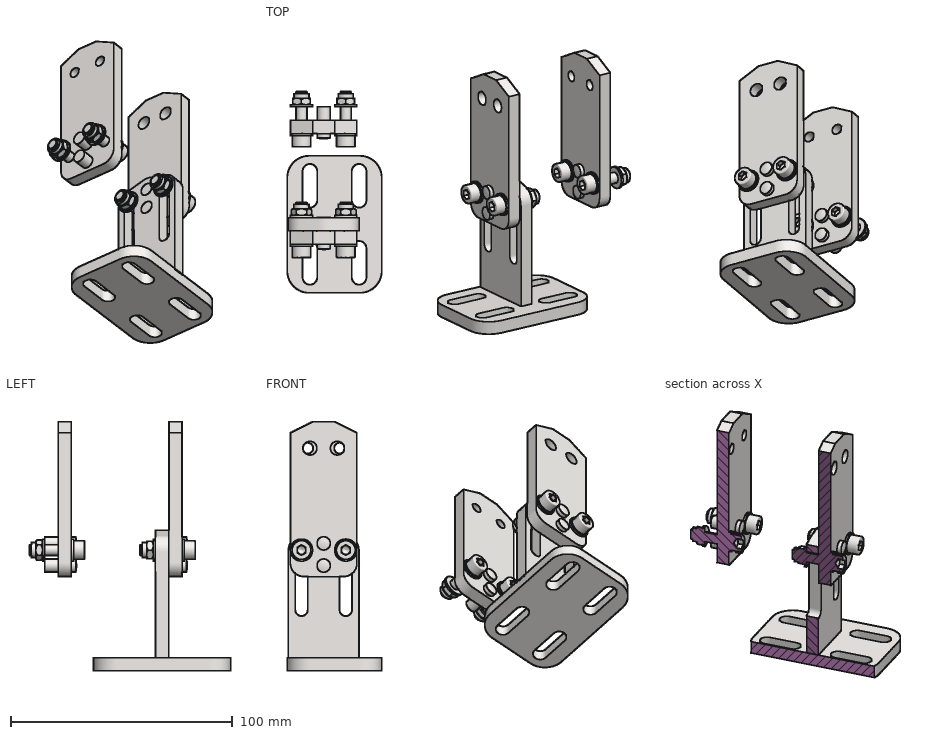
import cadquery as cq
import math

FOOT_WIDTH = 42.8
FOOT_DEPTH = 62.0
FOOT_THICKNESS = 6.0
FOOT_CENTER_X = 4.9
FOOT_CORNER_RADIUS = 10.0
FOOT_SLOT_WIDTH = 6.5
FOOT_SLOT_LENGTH = 19.6
FOOT_SLOT_PITCH_X = 22.2
FOOT_SLOT_PITCH_Y = 34.8

PLATE_THICKNESS = 6.0
PLATE_WIDTH = 30.0
PLATE_HEIGHT = 70.0
PLATE_TOP_FLAT = 10.0
PLATE_TOP_DROP = 5.0
PLATE_CORNER_RADIUS = 6.0
PLATE_BOTTOM_Z = 42.51
PLATE_TOP_Z = PLATE_BOTTOM_Z + PLATE_HEIGHT
HOLE_FROM_TOP = 12.0
HOLE_Z = PLATE_TOP_Z - HOLE_FROM_TOP
FRONT_HOLE_DIAMETER = 6.2
FRONT_HOLE_PITCH = 12.3
REAR_HOLE_DIAMETER = 4.8
REAR_HOLE_PITCH = 14.4
PLATE_PITCH_Y = 50.0

SCREW_PITCH = 20.0
SCREW_FROM_BOTTOM = 12.0
PIN_FROM_BOTTOM = 5.0
PIN_PITCH = 10.0
SCREW_Z = PLATE_BOTTOM_Z + SCREW_FROM_BOTTOM
LOWER_PIN_Z = PLATE_BOTTOM_Z + PIN_FROM_BOTTOM
UPPER_PIN_Z = LOWER_PIN_Z + PIN_PITCH
SCREW_XS = (-SCREW_PITCH / 2, SCREW_PITCH / 2)
PIN_ZS = (LOWER_PIN_Z, UPPER_PIN_Z)

UPRIGHT_THICKNESS = 6.0
UPRIGHT_WIDTH = 32.0
UPRIGHT_EAVE_Z = 59.5
UPRIGHT_ROOF_ANGLE = 15.0
UPRIGHT_CORNER_RADIUS = 7.0
UPRIGHT_PEAK_RADIUS = 8.0
UPRIGHT_SLOT_WIDTH = 5.5
UPRIGHT_SLOT_BOTTOM_Z = 24.75

SCREW_DIAMETER = 5.0
SCREW_LENGTH = 20.0
SCREW_TIP_CHAMFER = 0.3
HEAD_DIAMETER = 8.5
HEAD_HEIGHT = 5.0
HEAD_ROUNDING = 0.5
SOCKET_FLATS = 4.0
SOCKET_DEPTH = 2.5
SOCKET_CONE_DEPTH = SOCKET_FLATS / 2 * math.tan(math.pi / 6)
WASHER_DIAMETER = 10.0
WASHER_THICKNESS = 1.0
NUT_FLATS = 8.0
NUT_HEX_HEIGHT = 3.0
NUT_BEVEL = 0.6
COLLAR_DIAMETER = 6.9
COLLAR_HEIGHT = 2.0

PIN_DIAMETER = 6.0
PIN_FRONT_LENGTH = 2.0
PIN_DOME_HEIGHT = 0.4
PIN_BACK_LENGTH = 6.1

UPRIGHT_FRONT_Y = -UPRIGHT_THICKNESS / 2
UPRIGHT_BACK_Y = UPRIGHT_THICKNESS / 2
PLATE_FRONT_Y = UPRIGHT_FRONT_Y - PLATE_THICKNESS
HEAD_SEAT_Y = PLATE_FRONT_Y - WASHER_THICKNESS
NUT_SEAT_Y = UPRIGHT_BACK_Y + WASHER_THICKNESS


def facing_back(x, y, z):
    """Workplane at a point, drawn in X and Z, whose extrusions run toward +Y."""
    return cq.Workplane(cq.Plane(origin=(x, y, z), xDir=(-1, 0, 0), normal=(0, 1, 0)))


def rod(diameter, x, z, start_y, length):
    """Cylinder along Y."""
    return facing_back(x, start_y, z).circle(diameter / 2).extrude(length)


def hexagon(flats, turn, x, z, start_y, length):
    """Hexagonal prism along Y; a turn of zero puts two corners on the X axis."""
    across_corners = flats / math.cos(math.pi / 6)
    return (
        facing_back(x, start_y, z)
        .transformed(rotate=(0, 0, turn))
        .polygon(6, across_corners)
        .extrude(length)
    )


def make_foot():
    foot = (
        cq.Workplane("XY")
        .center(FOOT_CENTER_X, 0)
        .rect(FOOT_WIDTH, FOOT_DEPTH)
        .extrude(FOOT_THICKNESS)
        .edges("|Z")
        .fillet(FOOT_CORNER_RADIUS)
    )
    slots = (
        cq.Workplane("XY")
        .center(FOOT_CENTER_X, 0)
        .rarray(FOOT_SLOT_PITCH_X, FOOT_SLOT_PITCH_Y, 2, 2)
        .slot2D(FOOT_SLOT_LENGTH, FOOT_SLOT_WIDTH, 90)
        .extrude(FOOT_THICKNESS)
    )
    return foot.cut(slots)


def make_upright():
    half_width = UPRIGHT_WIDTH / 2
    peak_z = UPRIGHT_EAVE_Z + half_width * math.tan(math.radians(UPRIGHT_ROOF_ANGLE))
    upright = (
        cq.Workplane("XZ", origin=(0, UPRIGHT_BACK_Y, 0))
        .moveTo(-half_width, FOOT_THICKNESS)
        .lineTo(half_width, FOOT_THICKNESS)
        .lineTo(half_width, UPRIGHT_EAVE_Z)
        .lineTo(0, peak_z)
        .lineTo(-half_width, UPRIGHT_EAVE_Z)
        .close()
        .extrude(UPRIGHT_THICKNESS)
    )
    upright = upright.edges("|Y").edges("not(<Z or >Z)").fillet(UPRIGHT_CORNER_RADIUS)
    upright = upright.edges("|Y and >Z").fillet(UPRIGHT_PEAK_RADIUS)
    slot_top_z = SCREW_Z + UPRIGHT_SLOT_WIDTH / 2
    slot_length = slot_top_z - UPRIGHT_SLOT_BOTTOM_Z
    slot_center_z = (slot_top_z + UPRIGHT_SLOT_BOTTOM_Z) / 2
    for x in SCREW_XS:
        slot = (
            facing_back(x, UPRIGHT_FRONT_Y, slot_center_z)
            .slot2D(slot_length, UPRIGHT_SLOT_WIDTH, 90)
            .extrude(UPRIGHT_THICKNESS)
        )
        upright = upright.cut(slot)
    for z in PIN_ZS:
        upright = upright.cut(rod(PIN_DIAMETER, 0, z, UPRIGHT_FRONT_Y, UPRIGHT_THICKNESS))
    return upright


def make_plate(hole_diameter, hole_pitch):
    half_width = PLATE_WIDTH / 2
    half_flat = PLATE_TOP_FLAT / 2
    shoulder_z = PLATE_TOP_Z - PLATE_TOP_DROP
    plate = (
        cq.Workplane("XZ", origin=(0, UPRIGHT_FRONT_Y, 0))
        .moveTo(-half_width, PLATE_BOTTOM_Z)
        .lineTo(half_width, PLATE_BOTTOM_Z)
        .lineTo(half_width, shoulder_z)
        .lineTo(half_flat, PLATE_TOP_Z)
        .lineTo(-half_flat, PLATE_TOP_Z)
        .lineTo(-half_width, shoulder_z)
        .close()
        .extrude(PLATE_THICKNESS)
        .edges("|Y and <Z")
        .fillet(PLATE_CORNER_RADIUS)
    )
    for x in (-hole_pitch / 2, hole_pitch / 2):
        plate = plate.cut(rod(hole_diameter, x, HOLE_Z, PLATE_FRONT_Y, PLATE_THICKNESS))
    return plate


def make_screw(x):
    head_front_y = HEAD_SEAT_Y - HEAD_HEIGHT
    head = rod(HEAD_DIAMETER, x, SCREW_Z, head_front_y, HEAD_HEIGHT).faces("<Y").fillet(HEAD_ROUNDING)
    socket = hexagon(SOCKET_FLATS, 30, x, SCREW_Z, head_front_y, SOCKET_DEPTH)
    drill_cone = cq.Workplane(
        cq.Solid.makeCone(
            SOCKET_FLATS / 2,
            0,
            SOCKET_CONE_DEPTH,
            pnt=cq.Vector(x, head_front_y + SOCKET_DEPTH, SCREW_Z),
            dir=cq.Vector(0, 1, 0),
        )
    )
    shank = rod(SCREW_DIAMETER, x, SCREW_Z, HEAD_SEAT_Y, SCREW_LENGTH)
    shank = shank.faces(">Y").chamfer(SCREW_TIP_CHAMFER)
    return head.union(shank).cut(socket).cut(drill_cone)


def make_nut(x, turn):
    across_corners = NUT_FLATS / math.cos(math.pi / 6)
    bevel_envelope = rod(across_corners, x, SCREW_Z, NUT_SEAT_Y, NUT_HEX_HEIGHT).edges().chamfer(NUT_BEVEL)
    body = hexagon(NUT_FLATS, turn, x, SCREW_Z, NUT_SEAT_Y, NUT_HEX_HEIGHT).intersect(bevel_envelope)
    collar = rod(COLLAR_DIAMETER, x, SCREW_Z, NUT_SEAT_Y + NUT_HEX_HEIGHT, COLLAR_HEIGHT)
    return body.union(collar)


def make_pin(z):
    radius = PIN_DIAMETER / 2
    front_y = PLATE_FRONT_Y - PIN_FRONT_LENGTH
    back_y = UPRIGHT_FRONT_Y + PIN_BACK_LENGTH
    dome_radius = (radius**2 + PIN_DOME_HEIGHT**2) / (2 * PIN_DOME_HEIGHT)
    dome_tip_y = front_y - PIN_DOME_HEIGHT
    dome_mid_x = radius / 2
    dome_mid_y = dome_tip_y + dome_radius - math.sqrt(dome_radius**2 - dome_mid_x**2)
    return (
        cq.Workplane("XY", origin=(0, 0, z))
        .moveTo(0, dome_tip_y)
        .threePointArc((dome_mid_x, dome_mid_y), (radius, front_y))
        .lineTo(radius, back_y)
        .lineTo(0, back_y)
        .close()
        .revolve(360, (0, 0, 0), (0, 1, 0))
    )


def make_clamp(hole_diameter, hole_pitch, nut_turn):
    """Clamp plate with its screws, washers, nuts and pins as one solid."""
    clamp = make_plate(hole_diameter, hole_pitch)
    for x in SCREW_XS:
        clamp = clamp.union(rod(WASHER_DIAMETER, x, SCREW_Z, HEAD_SEAT_Y, WASHER_THICKNESS))
        clamp = clamp.union(make_screw(x))
        clamp = clamp.union(rod(WASHER_DIAMETER, x, SCREW_Z, UPRIGHT_BACK_Y, WASHER_THICKNESS))
        clamp = clamp.union(make_nut(x, nut_turn))
    for z in PIN_ZS:
        clamp = clamp.union(make_pin(z))
    return clamp


foot = make_foot()
upright = make_upright()
front_clamp = make_clamp(FRONT_HOLE_DIAMETER, FRONT_HOLE_PITCH, nut_turn=0)
rear_clamp = make_clamp(REAR_HOLE_DIAMETER, REAR_HOLE_PITCH, nut_turn=30)
rear_clamp = rear_clamp.translate((0, PLATE_PITCH_Y, 0))

bodies = (foot, upright, front_clamp, rear_clamp)
result = cq.Compound.makeCompound([body.solids().val() for body in bodies])